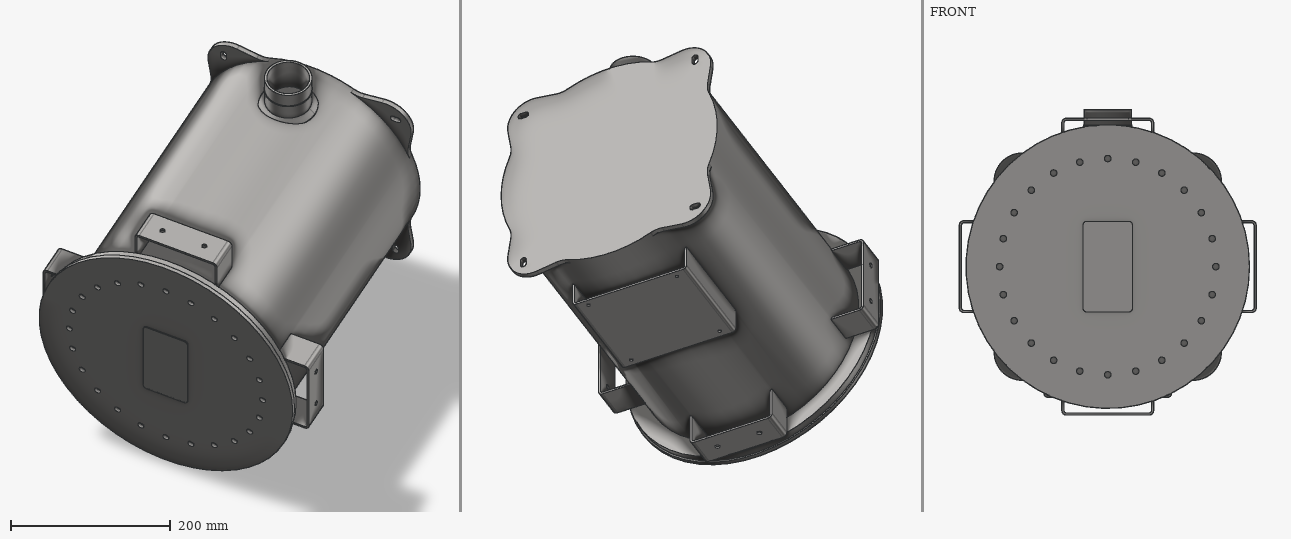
import cadquery as cq
import math

total_length = 410.0

plate_width, plate_height, plate_thickness, plate_corner = 62.0, 113.5, 1.5, 5.0
lid_diameter, lid_thickness = 355.0, 5.5
flange_diameter, flange_thickness = 350.0, 9.5
lid_front = plate_thickness
flange_front = lid_front + lid_thickness
shell_front = flange_front + flange_thickness

bolt_count, bolt_circle_radius, bolt_hole_diameter = 24, 135.5, 8.0
bolt_hole_depth = lid_thickness

shell_radius = 303.0 / 2

quarter_turn = 90
first_lug_angle = quarter_turn / 2

handle_reach = 372.0 / 2
handle_span, handle_width = 115.2, 41.5
handle_front = 30.0
handle_thickness, handle_bend_radius = 3.0, 6.0
handle_hole_diameter, handle_hole_spacing = 6.0, 58.5

foot_span, foot_length, foot_reach = 160.0, 137.0, 163.5
foot_rear_gap = 56.5
foot_thickness, foot_bend_radius = 3.0, 5.0
foot_hole_diameter, foot_hole_side_inset, foot_hole_end_inset = 4.0, 18.0, 9.0

lug_thickness = 7.0
lug_tip_radius, lug_tip_distance = 35.5, 151.0
lug_fillet_radius = 30.0
lug_slot_angle = -45
lug_half_angle = math.radians(22.4)
lug_slot_length, lug_slot_width, lug_slot_distance = 14.5, 8.0, 170.0

nozzle_top = 382.5 - handle_reach
nozzle_rear_gap = 66.5
nozzle_diameter, nozzle_bore = 59.5, 53.5
bead_diameter, bead_height, bead_drop = 60.3, 1.2, 19.3
collar_top, collar_bottom, collar_skirt = 154.5, 148.0, 4.0
collar_half_width, collar_half_length = 37.5, 39.0


def disc(diameter, front, thickness):
    """Disc on the tank axis, from Y = front toward the rear."""
    return cq.Workplane("XZ", origin=(0, front, 0)).circle(diameter / 2).extrude(-thickness)


def u_channel(span, reach, thickness, bend_radius, front, length):
    """U-shaped strap opening upward, with its web at Z = -reach and its legs ending at Z = 0."""
    outer = (
        cq.Workplane("XY")
        .box(span, length, reach, centered=(True, False, False))
        .edges("|Y and <Z")
        .fillet(bend_radius)
    )
    inner = (
        cq.Workplane("XY", origin=(0, 0, thickness))
        .box(span - 2 * thickness, length, reach, centered=(True, False, False))
        .edges("|Y and <Z")
        .fillet(bend_radius - thickness)
    )
    return outer.cut(inner).translate((0, front, -reach))


def web_holes(points, diameter, reach, thickness):
    """Cylinders that cut holes through a web whose outer face is at Z = -reach."""
    web_face = cq.Workplane("XY", origin=(0, 0, -reach))
    return web_face.pushPoints(points).circle(diameter / 2).extrude(thickness)


def turned(body, angle):
    """Body turned about the tank axis."""
    return body.rotate((0, 0, 0), (0, 1, 0), angle)


def make_handle():
    handle = u_channel(
        handle_span, handle_reach, handle_thickness, handle_bend_radius, handle_front, handle_width
    )
    hole_y = handle_front + handle_width / 2
    points = [(side * handle_hole_spacing / 2, hole_y) for side in (-1, 1)]
    return handle.cut(web_holes(points, handle_hole_diameter, handle_reach, handle_thickness))


def make_foot():
    front = total_length - foot_rear_gap - foot_length
    foot = u_channel(foot_span, foot_reach, foot_thickness, foot_bend_radius, front, foot_length)
    hole_x = foot_span / 2 - foot_hole_side_inset
    hole_ys = (front + foot_hole_end_inset, front + foot_length - foot_hole_end_inset)
    points = [(side * hole_x, y) for side in (-1, 1) for y in hole_ys]
    return foot.cut(web_holes(points, foot_hole_diameter, foot_reach, foot_thickness))


def make_lug():
    """Lug pointing along +X: round tip, straight flanks and fillets that run into the shell."""
    fillet_distance = shell_radius + lug_fillet_radius
    fillet_x = fillet_distance * math.cos(lug_half_angle)
    fillet_z = fillet_distance * math.sin(lug_half_angle)
    between_x = fillet_x - lug_tip_distance
    between = math.hypot(between_x, fillet_z)
    tangent_turn = math.acos((lug_tip_radius + lug_fillet_radius) / between)
    normal = math.atan2(fillet_z, between_x) - tangent_turn
    normal_x = math.cos(normal)
    normal_z = math.sin(normal)
    tip_end = (lug_tip_distance + lug_tip_radius * normal_x, lug_tip_radius * normal_z)
    flank_end = (fillet_x - lug_fillet_radius * normal_x, fillet_z - lug_fillet_radius * normal_z)
    shell_end = (shell_radius * math.cos(lug_half_angle), shell_radius * math.sin(lug_half_angle))
    mid_angle = (normal + lug_half_angle) / 2
    fillet_mid = (
        fillet_x - lug_fillet_radius * math.cos(mid_angle),
        fillet_z - lug_fillet_radius * math.sin(mid_angle),
    )

    def mirrored(point):
        return (point[0], -point[1])

    lug = (
        cq.Workplane("XZ", origin=(0, total_length, 0))
        .moveTo(0, 0)
        .lineTo(*shell_end)
        .threePointArc(fillet_mid, flank_end)
        .lineTo(*tip_end)
        .threePointArc((lug_tip_distance + lug_tip_radius, 0), mirrored(tip_end))
        .lineTo(*mirrored(flank_end))
        .threePointArc(mirrored(fillet_mid), mirrored(shell_end))
        .close()
        .extrude(lug_thickness)
    )
    slot = (
        cq.Workplane("XZ", origin=(lug_slot_distance, total_length, 0))
        .slot2D(lug_slot_length, lug_slot_width, lug_slot_angle)
        .extrude(lug_thickness)
    )
    return lug.cut(slot)


def make_nozzle():
    nozzle_y = total_length - nozzle_rear_gap
    bead_top = nozzle_top - bead_drop

    def upright(diameter, bottom, top):
        return cq.Workplane("XY", origin=(0, nozzle_y, bottom)).circle(diameter / 2).extrude(top - bottom)

    tube = upright(nozzle_diameter, 0, nozzle_top)
    bead = upright(bead_diameter, bead_top - bead_height, bead_top)
    skirt = (
        cq.Workplane("XY", origin=(0, nozzle_y, collar_bottom))
        .ellipse(collar_half_width, collar_half_length)
        .extrude(-collar_skirt)
    )
    flare = (
        cq.Workplane("XY", origin=(0, nozzle_y, collar_bottom))
        .ellipse(collar_half_width, collar_half_length)
        .workplane(offset=collar_top - collar_bottom)
        .circle(nozzle_diameter / 2)
        .loft(ruled=True)
    )
    return tube.union(bead).union(skirt).union(flare).cut(upright(nozzle_bore, 0, nozzle_top))


nameplate = (
    cq.Workplane("XZ")
    .rect(plate_width, plate_height)
    .extrude(-plate_thickness)
    .edges("|Y")
    .fillet(plate_corner)
)
lid = disc(lid_diameter, lid_front, lid_thickness)
flange = disc(flange_diameter, flange_front, flange_thickness)
shell = disc(2 * shell_radius, shell_front, total_length - shell_front)
bolt_holes = (
    cq.Workplane("XZ", origin=(0, lid_front, 0))
    .polarArray(bolt_circle_radius, 0, 360, bolt_count)
    .circle(bolt_hole_diameter / 2)
    .extrude(-bolt_hole_depth)
)

result = make_nozzle().union(make_foot())
for quarter in range(4):
    result = result.union(turned(make_handle(), quarter_turn * quarter))
    result = result.union(turned(make_lug(), first_lug_angle + quarter_turn * quarter))
result = result.union(shell).union(flange).union(lid).union(nameplate).cut(bolt_holes)